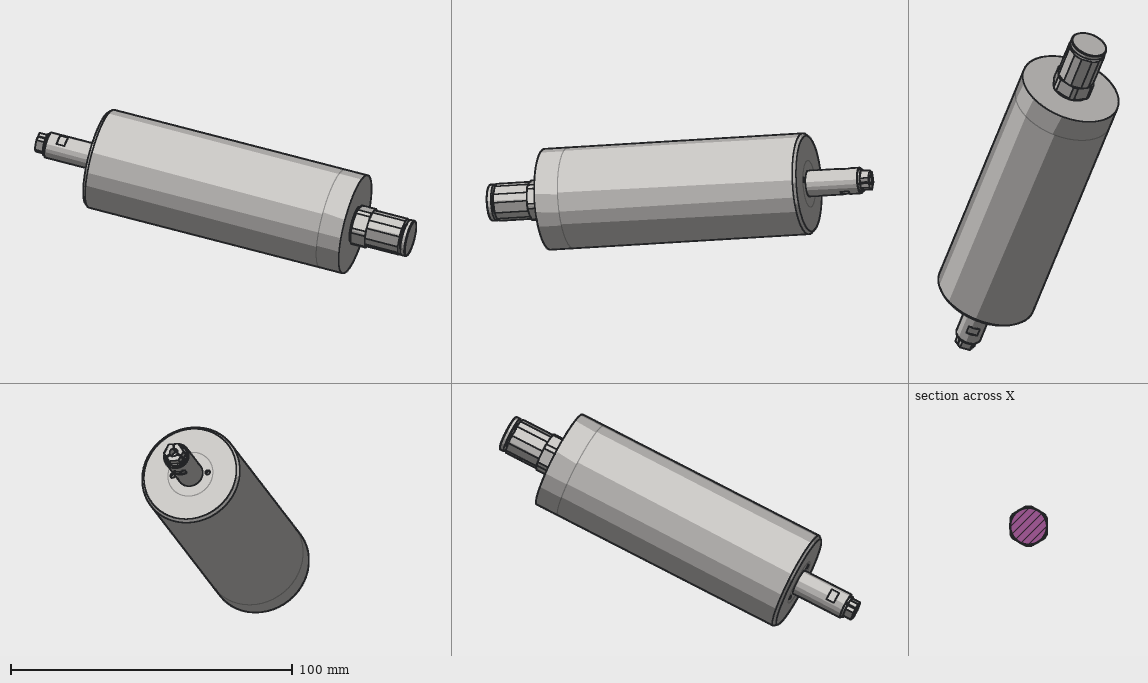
import cadquery as cq
import math

total_length = 140.2
collet_length = 3.1
spindle_start = 3.9
body_start = 22.8
cap_start = 110.7
body_end = 119.3
hex_start = 119.9
sleeve_start = 125.2
sleeve_end = 137.5
ring_start = 138.5

collet_flats = 6.3
collet_bore_diameter = 3.0
collet_bore_depth = 3.9
slot_width = 0.4
slot_angles = (90, 210, 330)

spindle_diameter = 9.3
spindle_nose_diameter = 8.0
wrench_flat_start = 7.7
wrench_flat_length = 3.0
wrench_flat_spacing = 8.3

body_diameter = 36.0
body_chamfer_length = 1.1
body_chamfer_depth = 1.0
front_plate_diameter = 16.5
front_plate_depth = 1.4
pin_hole_diameter = 1.7
pin_hole_depth = 1.4
pin_hole_spacing = 12.9

hex_flats = 13.2
hex_corner_diameter = 14.3
hex_seat_diameter = 13.0
sleeve_diameter = 13.3
sleeve_flats = 12.8
neck_diameter = 9.0
ring_diameter = 13.0
ring_chamfer = 0.3


def plane_at(x):
    """Plane across the axis at x, with local X along +Y and local Y along +Z."""
    return cq.Workplane("YZ", origin=(x, 0, 0))


def rod(start, end, diameter):
    return plane_at(start).circle(diameter / 2).extrude(end - start)


def hex_rod(start, end, across_flats, first_corner_angle=0):
    """Hexagonal prism whose first corner is turned from +Y by the given angle."""
    across_corners = across_flats / math.cos(math.pi / 6)
    prism = plane_at(start).polygon(6, across_corners).extrude(end - start)
    return prism.rotate((0, 0, 0), (1, 0, 0), first_corner_angle)


def make_collet():
    """Hexagonal collet with two flats facing up and down."""
    return hex_rod(0, collet_length, collet_flats)


def make_spindle():
    """Round spindle with a stepped nose and a wrench flat above and below."""
    nose = rod(collet_length, spindle_start, spindle_nose_diameter)
    spindle = nose.union(rod(spindle_start, body_start, spindle_diameter))
    flat_depth = (spindle_diameter - wrench_flat_spacing) / 2
    flat_center = (wrench_flat_spacing + flat_depth) / 2
    flat_cuts = (
        plane_at(wrench_flat_start)
        .pushPoints([(0, flat_center), (0, -flat_center)])
        .rect(spindle_diameter, flat_depth)
        .extrude(wrench_flat_length)
    )
    return spindle.cut(flat_cuts)


def make_body():
    """Main barrel, chamfered at the front, around a flush front plate with two pin holes."""
    barrel = rod(body_start, cap_start, body_diameter)
    barrel = barrel.faces("<X").chamfer(body_chamfer_length, body_chamfer_depth)
    plate = rod(body_start, body_start + front_plate_depth, front_plate_diameter)
    pin_holes = (
        plane_at(body_start)
        .pushPoints([(-pin_hole_spacing / 2, 0), (pin_hole_spacing / 2, 0)])
        .circle(pin_hole_diameter / 2)
        .extrude(pin_hole_depth)
    )
    return barrel.cut(plate), plate.cut(pin_holes)


def make_fitting():
    """Hexagon with turned corners, flatted grip sleeve, neck and release ring."""
    seat = rod(body_end, hex_start, hex_seat_diameter)
    hexagon = hex_rod(hex_start, sleeve_start, hex_flats, 30)
    hexagon = hexagon.intersect(rod(hex_start, sleeve_start, hex_corner_diameter))
    sleeve = hex_rod(sleeve_start, sleeve_end, sleeve_flats)
    sleeve = sleeve.intersect(rod(sleeve_start, sleeve_end, sleeve_diameter))
    neck = rod(sleeve_end, ring_start, neck_diameter)
    ring = rod(ring_start, total_length, ring_diameter).faces(">X").chamfer(ring_chamfer)
    return seat.union(hexagon).union(sleeve).union(neck).union(ring)


def make_collet_cuts():
    """Blind centre bore and three slots that part the collet into jaws."""
    cuts = rod(0, collet_bore_depth, collet_bore_diameter)
    for angle in slot_angles:
        slot = cq.Workplane().box(
            spindle_start, spindle_diameter, slot_width, centered=(False, False, True)
        )
        cuts = cuts.union(slot.rotate((0, 0, 0), (1, 0, 0), angle))
    return cuts


barrel, front_plate = make_body()
rear_cap = rod(cap_start, body_end, body_diameter)
shaft = make_collet().union(make_spindle()).cut(make_collet_cuts())

result = barrel
for piece in (front_plate, rear_cap, shaft, make_fitting()):
    result = result.union(piece, clean=False)